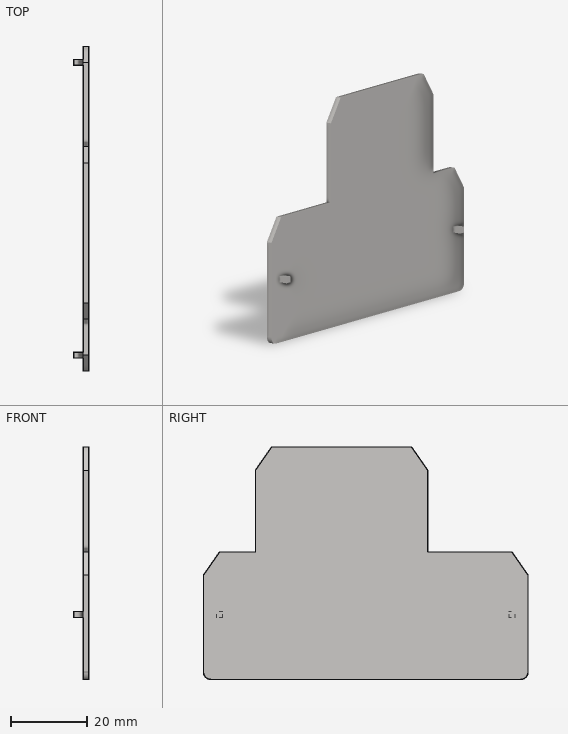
import cadquery as cq

total_depth = 3.95
length = 85.0
height = 60.85

plate_thickness = 1.5
peg_length = total_depth - plate_thickness

shoulder_height = 33.4
tower_front_gap = 13.6
tower_back_gap = 26.25
chamfer_run = 4.25
chamfer_drop = 6.1
bottom_radius = 2.0

peg_side = 1.6
peg_end_distance = 4.2
peg_height = 17.0

front_end = -length / 2
back_end = length / 2
tower_front = front_end + tower_front_gap
tower_back = back_end - tower_back_gap


def make_plate():
    """Stepped plate with sloped upper corners and rounded bottom corners."""
    outline = [
        (front_end, 0),
        (back_end, 0),
        (back_end, shoulder_height - chamfer_drop),
        (back_end - chamfer_run, shoulder_height),
        (tower_back, shoulder_height),
        (tower_back, height - chamfer_drop),
        (tower_back - chamfer_run, height),
        (tower_front + chamfer_run, height),
        (tower_front, height - chamfer_drop),
        (tower_front, shoulder_height),
        (front_end + chamfer_run, shoulder_height),
        (front_end, shoulder_height - chamfer_drop),
    ]
    plate = cq.Workplane("YZ").polyline(outline).close().extrude(plate_thickness)
    return plate.edges("|X and <Z").fillet(bottom_radius)


def make_pegs():
    """Two square pegs on the -X face, one near each end of the plate."""
    peg_centres = [
        (front_end + peg_end_distance, peg_height),
        (back_end - peg_end_distance, peg_height),
    ]
    return cq.Workplane("YZ").pushPoints(peg_centres).rect(peg_side, peg_side).extrude(-peg_length)


result = make_plate().union(make_pegs())